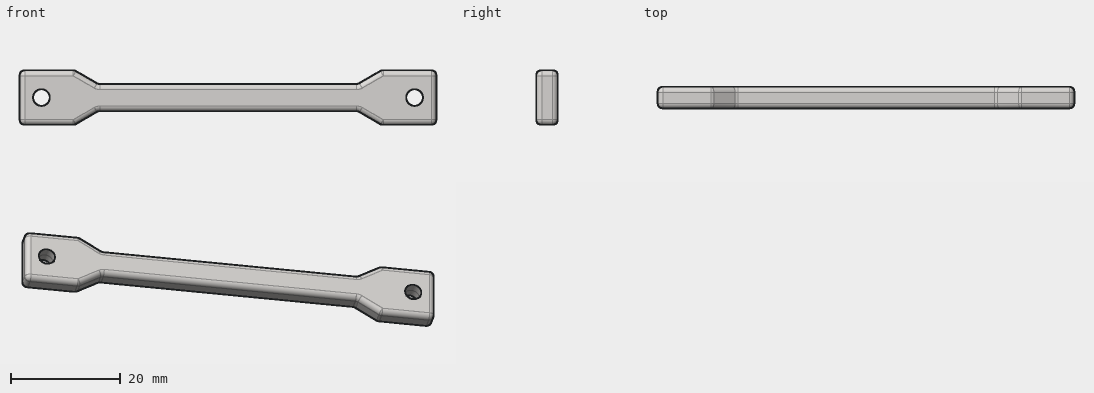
import cadquery as cq
import math

length = 76.0
thickness = 4.0
end_height = 10.0

bar_height = 5.0

pad_length = 10.0
taper_angle = 30.0

hole_diameter = 3.0
hole_end_distance = 4.0

edge_radius = 1.0

half_length = length / 2
half_end = end_height / 2
half_bar = bar_height / 2
taper_length = (half_end - half_bar) / math.tan(math.radians(taper_angle))
pad_inner_x = half_length - pad_length
bar_end_x = pad_inner_x - taper_length
hole_spacing = length - 2 * hole_end_distance


def make_link_body():
    """Dog-bone plate, centred on the origin, with all edges rounded."""
    upper_edge = [
        (-half_length, half_end),
        (-pad_inner_x, half_end),
        (-bar_end_x, half_bar),
        (bar_end_x, half_bar),
        (pad_inner_x, half_end),
        (half_length, half_end),
    ]
    lower_edge = [(x, -z) for x, z in reversed(upper_edge)]
    plate = (
        cq.Workplane("XZ")
        .polyline(upper_edge + lower_edge)
        .close()
        .extrude(thickness / 2, both=True)
    )
    return plate.edges().fillet(edge_radius)


def make_pin_holes():
    """Cylinders along Y that cut one hole through each end pad."""
    return (
        cq.Workplane("XZ")
        .rarray(hole_spacing, 1, 2, 1)
        .circle(hole_diameter / 2)
        .extrude(thickness, both=True)
    )


result = make_link_body().cut(make_pin_holes())